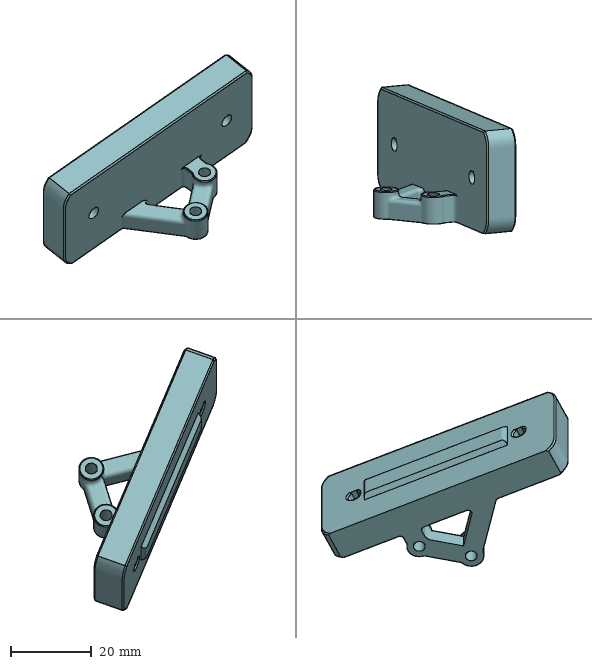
import cadquery as cq
import math

PLATE_THICKNESS = 8.0
PLATE_LENGTH = 64.05
PLATE_HEIGHT = 26.0
PLATE_CENTER_Y = -0.525
CORNER_RADIUS = 5.0
CORNER_HEIGHT = 4.07
EDGE_CHAMFER = 0.4
MID_HEIGHT = PLATE_HEIGHT / 2

TOTAL_DEPTH = 25.12
RAIL_LENGTH = 39.0
RAIL_HEIGHT = 8.0
RAIL_DEPTH = 1.2

SCREW_RADIUS = 1.65
SCREW_SPACING = 45.1

POST_RADIUS = 6.2 / 2
POST_HEIGHT = 7.0
POST_HOLE_DIAMETER = 2.9
POST_CHAMFER = 0.25
POST_STEP_X = 8.0
POST_STEP_Y = 10.5
ARM_WIDTH = 5.0
ARM_HEIGHT = 5.0
ARM_ROUND = 1.0
BRACE_ANGLE = 37.0
BRACE_LENGTH = 20.0
BLEND_RADIUS = 1.0

ROOT_DEPTH = 4.0
ROOT_LENGTH = 16.0

TOLERANCE = 0.01

OUTER_POST_REACH = TOTAL_DEPTH - RAIL_DEPTH - PLATE_THICKNESS - POST_RADIUS
OUTER_POST = (PLATE_THICKNESS + OUTER_POST_REACH, 0.0)
INNER_POST = (OUTER_POST[0] - POST_STEP_X, POST_STEP_Y)
POST_CENTERS = [OUTER_POST, INNER_POST]
BRACE_ROOT_Y = -OUTER_POST_REACH * math.tan(math.radians(BRACE_ANGLE))
ROOT_START_X = PLATE_THICKNESS - ROOT_DEPTH

COS_45 = math.sqrt(0.5)


def make_plate():
    """Plate whose corners are arcs that run out along 45 degree tangents."""
    half_length = PLATE_LENGTH / 2
    arc_z = MID_HEIGHT - CORNER_HEIGHT
    arc_end_y = half_length - CORNER_RADIUS * (1 - COS_45)
    arc_end_z = arc_z + CORNER_RADIUS * COS_45
    flat_y = arc_end_y - (MID_HEIGHT - arc_end_z)
    mid_angle = math.radians(45) / 2
    arc_mid_y = half_length - CORNER_RADIUS * (1 - math.cos(mid_angle))
    arc_mid_z = arc_z + CORNER_RADIUS * math.sin(mid_angle)

    plate = (
        cq.Workplane("YZ", origin=(0, PLATE_CENTER_Y, MID_HEIGHT))
        .moveTo(-flat_y, MID_HEIGHT)
        .lineTo(flat_y, MID_HEIGHT)
        .lineTo(arc_end_y, arc_end_z)
        .threePointArc((arc_mid_y, arc_mid_z), (half_length, arc_z))
        .lineTo(half_length, -arc_z)
        .threePointArc((arc_mid_y, -arc_mid_z), (arc_end_y, -arc_end_z))
        .lineTo(flat_y, -MID_HEIGHT)
        .lineTo(-flat_y, -MID_HEIGHT)
        .lineTo(-arc_end_y, -arc_end_z)
        .threePointArc((-arc_mid_y, -arc_mid_z), (-half_length, -arc_z))
        .lineTo(-half_length, arc_z)
        .threePointArc((-arc_mid_y, arc_mid_z), (-arc_end_y, arc_end_z))
        .close()
        .extrude(PLATE_THICKNESS)
    )
    rims = plate.faces("<X or >X").edges()
    standing_rims = [edge for edge in rims.vals() if edge.Center().z > EDGE_CHAMFER]
    return plate.newObject(standing_rims).chamfer(EDGE_CHAMFER)


def make_rail():
    """Rail with quarter-round ends and 45 degree long sides."""
    end_y = RAIL_LENGTH / 2
    flat_y = end_y - RAIL_DEPTH
    round_inset = RAIL_DEPTH * (1 - COS_45)
    plan = (
        cq.Workplane("XY")
        .moveTo(0, -end_y)
        .lineTo(0, end_y)
        .threePointArc((round_inset - RAIL_DEPTH, end_y - round_inset), (-RAIL_DEPTH, flat_y))
        .lineTo(-RAIL_DEPTH, -flat_y)
        .threePointArc((round_inset - RAIL_DEPTH, round_inset - end_y), (0, -end_y))
        .close()
        .extrude(RAIL_HEIGHT)
    )
    slope_top_z = RAIL_HEIGHT - RAIL_DEPTH
    section = (
        cq.Workplane("XZ")
        .polyline([(0, 0), (0, RAIL_HEIGHT), (-RAIL_DEPTH, slope_top_z), (-RAIL_DEPTH, RAIL_DEPTH)])
        .close()
        .extrude(RAIL_LENGTH / 2, both=True)
    )
    return plan.intersect(section).translate((0, 0, MID_HEIGHT - RAIL_HEIGHT / 2))


def teardrop(radius, x, y):
    """Circle with 45 degree tangents above, cut off flat at the screw radius."""
    flank = radius * COS_45
    flat_half = radius / COS_45 - SCREW_RADIUS
    return (
        cq.Workplane("YZ", origin=(x, y, MID_HEIGHT))
        .moveTo(flat_half, SCREW_RADIUS)
        .lineTo(flank, flank)
        .threePointArc((0, -radius), (-flank, flank))
        .lineTo(-flat_half, SCREW_RADIUS)
        .close()
    )


def make_screw_hole(y):
    """Cutter for one through hole with a flared mouth on the outer face."""
    hole = teardrop(SCREW_RADIUS, 0, y).extrude(PLATE_THICKNESS)
    mouth = teardrop(SCREW_RADIUS + EDGE_CHAMFER, 0, y).val()
    throat = teardrop(SCREW_RADIUS, EDGE_CHAMFER, y).val()
    return hole.union(cq.Workplane(cq.Solid.makeLoft([mouth, throat], True)))


def make_root(depth, length, height, y):
    """Block on Z = 0 that starts inside the plate and reaches along +X, centred on y."""
    block = cq.Workplane("XY").box(depth, length, height, centered=(False, True, False))
    return block.translate((ROOT_START_X, y, 0))


def is_brace_corner(edge):
    """True for the upright corners where the brace meets the plate's inner face."""
    corner = edge.Center()
    on_face = abs(corner.x - PLATE_THICKNESS) < TOLERANCE
    return on_face and abs(corner.y - BRACE_ROOT_Y) < ROOT_LENGTH / 2 - TOLERANCE


def is_stub_corner(edge):
    """True for the upright corners where the stub meets the plate and the inner post."""
    corner = edge.Center()
    on_flank = abs(abs(corner.y - POST_STEP_Y) - ARM_WIDTH / 2) < TOLERANCE
    return on_flank and PLATE_THICKNESS - TOLERANCE < corner.x < INNER_POST[0]


def make_arm(angle, length):
    """Square-edged arm that starts at the outer post's centre."""
    arm = cq.Workplane("XY").box(length, ARM_WIDTH, ARM_HEIGHT, centered=(False, True, False))
    return arm.rotate((0, 0, 0), (0, 0, 1), angle).translate((*OUTER_POST, 0))


def make_arms():
    """Link to the inner post and brace to the plate, blended and rounded on top."""
    link_angle = math.degrees(math.atan2(POST_STEP_Y, -POST_STEP_X))
    link = make_arm(link_angle, math.hypot(POST_STEP_X, POST_STEP_Y))
    brace = make_arm(180 + BRACE_ANGLE, BRACE_LENGTH)
    root = make_root(ROOT_DEPTH, ROOT_LENGTH, ARM_HEIGHT, BRACE_ROOT_Y)
    arms = link.union(brace).union(root)
    corners = [edge for edge in arms.edges("|Z").vals() if is_brace_corner(edge)]
    arms = arms.newObject(corners).fillet(BLEND_RADIUS)
    return arms.faces(">Z").edges().fillet(ARM_ROUND)


def make_posts():
    """Both posts, and the full-height stub that ties the inner one to the plate."""
    posts = cq.Workplane("XY").pushPoints(POST_CENTERS).circle(POST_RADIUS).extrude(POST_HEIGHT)
    stub = make_root(INNER_POST[0] - ROOT_START_X, ARM_WIDTH, POST_HEIGHT, POST_STEP_Y)
    root = make_root(ROOT_DEPTH, ROOT_LENGTH, POST_HEIGHT, POST_STEP_Y)
    posts = posts.union(stub).union(root)
    corners = [edge for edge in posts.edges("|Z").vals() if is_stub_corner(edge)]
    posts = posts.newObject(corners).fillet(BLEND_RADIUS)
    return posts.faces(">Z").edges().chamfer(POST_CHAMFER)


def is_post_seam(edge, center):
    """True for edges where an arm runs into the wall of the post at this centre."""
    points = [edge.positionAt(t) for t in (0, 0.5, 1)]
    on_wall = all(abs(math.hypot(p.x - center[0], p.y - center[1]) - POST_RADIUS) < TOLERANCE for p in points)
    is_full_height = edge.Length() > ARM_HEIGHT
    return on_wall and TOLERANCE < edge.Center().z <= ARM_HEIGHT + TOLERANCE and not is_full_height


def make_bracket():
    """Posts and arms in one piece, blended where they meet and drilled through the posts."""
    bracket = make_posts().union(make_arms())
    for center in POST_CENTERS:
        seams = [edge for edge in bracket.edges().vals() if is_post_seam(edge, center)]
        bracket = bracket.newObject(seams).fillet(BLEND_RADIUS)
    hole_circles = cq.Workplane("XY").pushPoints(POST_CENTERS).circle(POST_HOLE_DIAMETER / 2)
    holes = hole_circles.extrude(POST_HEIGHT)
    return bracket.cut(holes)


result = make_plate().union(make_rail()).union(make_bracket())
for hole_y in (-SCREW_SPACING / 2, SCREW_SPACING / 2):
    result = result.cut(make_screw_hole(hole_y))